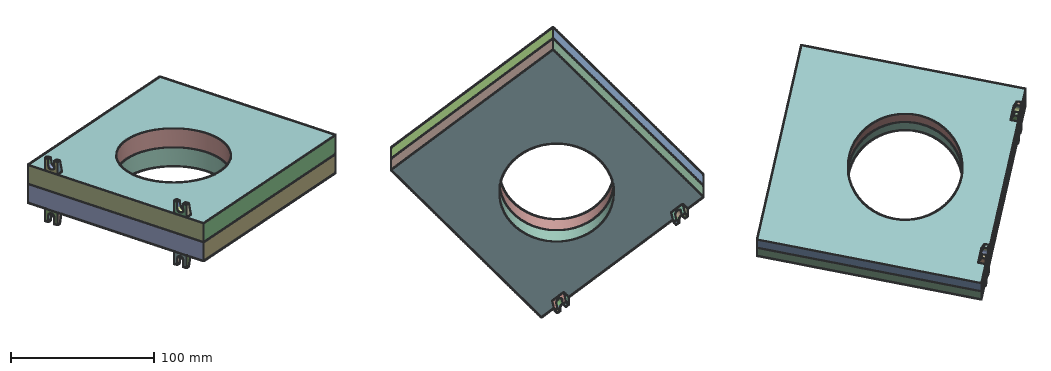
import cadquery as cq

plate_width = 150.0
plate_length = 160.0
overall_height = 50.0
bore_diameter = 80.0
bore_from_front = 70.0

lug_width = 10.7
lug_height = 10.0
lug_base_depth = 5.5
lug_tip_depth = 3.0
lug_from_side = 20.0
slot_width = 5.1
slot_depth = 7.5

plate_thickness = overall_height / 2 - lug_height
front_y = -plate_length / 2
lug_x = plate_width / 2 - lug_from_side


def make_plate(bottom_z):
    """Rectangular slab with a round through bore nearer its front edge."""
    return (
        cq.Workplane("XY", origin=(0, 0, bottom_z))
        .rect(plate_width, plate_length)
        .extrude(plate_thickness)
        .faces(">Z")
        .workplane(origin=(0, front_y + bore_from_front, 0))
        .hole(bore_diameter)
    )


def make_slot_cutter():
    """Round-bottomed slot, open at the lug tip."""
    radius = slot_width / 2
    slot_bottom = lug_height - slot_depth
    return (
        cq.Workplane("XZ", origin=(0, front_y, 0))
        .moveTo(-radius, lug_height)
        .lineTo(-radius, slot_bottom + radius)
        .threePointArc((0, slot_bottom), (radius, slot_bottom + radius))
        .lineTo(radius, lug_height)
        .close()
        .extrude(-lug_base_depth)
    )


def make_lug():
    """Upright lug standing on Z = 0, centred on X = 0, flush with the front edge."""
    body = (
        cq.Workplane("YZ")
        .moveTo(front_y, 0)
        .lineTo(front_y + lug_base_depth, 0)
        .lineTo(front_y + lug_tip_depth, lug_height)
        .lineTo(front_y, lug_height)
        .close()
        .extrude(lug_width / 2, both=True)
    )
    return body.cut(make_slot_cutter())


lower_plate = make_plate(-plate_thickness)
upper_plate = make_plate(0)

lugs = []
for x in (-lug_x, lug_x):
    upper_lug = make_lug().translate((x, 0, plate_thickness))
    lugs.append(upper_lug.val())
    lugs.append(upper_lug.mirror("XY").val())

result = cq.Compound.makeCompound([lower_plate.val(), upper_plate.val(), *lugs])